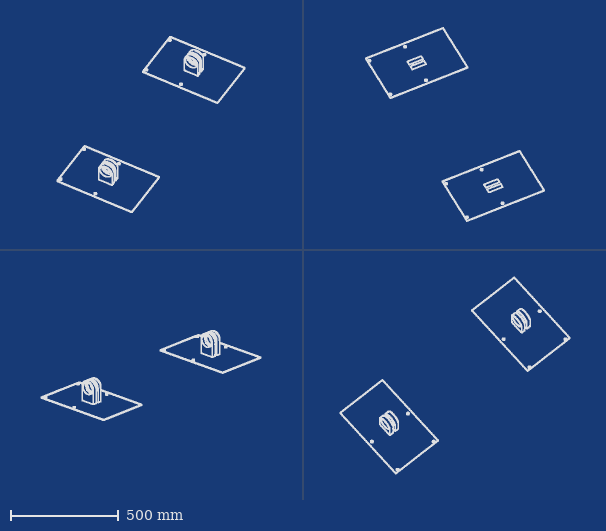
import cadquery as cq

overall_length = 1058.0
total_height = 109.0
plate_length = 400.0
plate_width = 257.0
plate_thickness = 3.0
bracket_pitch = overall_length - plate_width

mount_hole_diameter = 10.0
mount_hole_end_margin = 9.0
mount_hole_side_margin = 19.0
mount_hole_pitch_x = 185.0
mount_hole_pitch_y = plate_width - 2 * mount_hole_side_margin

lug_width = 72.0
lug_thickness = 20.0
lug_gap = 12.0
bore_diameter = 60.0
corner_radius = 35.0
bore_height = total_height - corner_radius
lug_pitch = lug_thickness + lug_gap


def make_plate():
    """Flat plate with its underside at Z = 0 and two pairs of mounting holes."""
    hole_pattern_center_x = -plate_length / 2 + mount_hole_end_margin + mount_hole_pitch_x / 2
    return (
        cq.Workplane("XY")
        .box(plate_length, plate_width, plate_thickness, centered=(True, True, False))
        .faces(">Z")
        .workplane()
        .center(hole_pattern_center_x, 0)
        .rarray(mount_hole_pitch_x, mount_hole_pitch_y, 2, 2)
        .hole(mount_hole_diameter)
    )


def make_lug(center_y):
    """Upright lug with a bore and two large top corner rounds that leave a narrow flat crown."""
    lug_height = total_height - plate_thickness
    blank = (
        cq.Workplane("XY", origin=(0, center_y, plate_thickness))
        .box(lug_width, lug_thickness, lug_height, centered=(True, True, False))
        .faces(">Z")
        .edges("|Y")
        .fillet(corner_radius)
    )
    bore = (
        cq.Workplane("XZ", origin=(0, center_y, bore_height))
        .circle(bore_diameter / 2)
        .extrude(lug_thickness / 2, both=True)
    )
    return blank.cut(bore)


def make_bracket(center_y):
    """One plate and its two lugs, joined as a single solid."""
    bracket = make_plate()
    for side in (-1, 1):
        bracket = bracket.union(make_lug(side * lug_pitch / 2))
    return bracket.translate((0, center_y, 0))


brackets = []
for side in (-1, 1):
    bracket = make_bracket(side * bracket_pitch / 2)
    brackets.append(bracket.val())

result = cq.Compound.makeCompound(brackets)